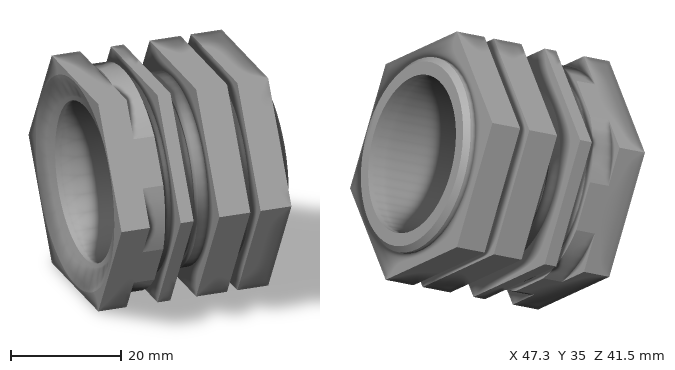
import cadquery as cq
import math


across_flats = 41.0
across_corners = across_flats / math.cos(math.radians(30))
flat_width = across_corners / 2
cap_length = 9.5
locknut_length = 6.0
flange_length = 2.5

flange_start = 11.5
first_locknut_start = 19.0
second_locknut_start = 27.0
total_length = 35.0

band_start = 5.5
band_radius = 21.0

collar_radius = 19.5
collar_rim = 0.3
collar_taper = 0.8
collar_neck_radius = 18.7

relief_radius = 17.0
thread_radius = 18.0
thread_start = 16.5
thread_lead_in = 0.5
thread_end_chamfer = 1.0

mouth_radius = 20.0
mouth_depth = 1.85
throat_radius = 15.0
throat_length = 1.2
taper_length = 8.6
bore_radius = 14.6


def hexagon(start, length):
    """Hexagonal prism along +Y with flats facing up and down."""
    plane = cq.Workplane("XZ", origin=(0, start, 0))
    return plane.polygon(6, across_corners).extrude(-length)


def disc(radius, start, length):
    """Cylinder along +Y."""
    return cq.Workplane("XZ", origin=(0, start, 0)).circle(radius).extrude(-length)


def turned(profile):
    """Solid of revolution about Y from (radius, station) points."""
    return cq.Workplane("XY").polyline(profile).close().revolve(360, (0, 0, 0), (0, 1, 0))


def cap_nut():
    """Hexagonal nut whose rear band has rounded corners and a round top."""
    band_length = cap_length - band_start
    band = disc(band_radius, band_start, band_length)
    trimmed_band = band.intersect(hexagon(band_start, band_length))
    top_region = (
        cq.Workplane("XY", origin=(0, band_start, 0))
        .box(flat_width, band_length, band_radius, centered=(True, False, False))
    )
    round_top = band.intersect(top_region)
    return hexagon(0, band_start).union(trimmed_band).union(round_top)


def shank():
    """Collar, relief and thread cylinder in one turned piece."""
    taper_start = cap_length + collar_rim
    taper_end = taper_start + collar_taper
    return turned([
        (0, cap_length),
        (collar_radius, cap_length),
        (collar_radius, taper_start),
        (collar_neck_radius, taper_end),
        (collar_neck_radius, flange_start),
        (relief_radius, flange_start),
        (relief_radius, thread_start),
        (thread_radius - thread_lead_in, thread_start),
        (thread_radius, thread_start + thread_lead_in),
        (thread_radius, total_length - thread_end_chamfer),
        (thread_radius - thread_end_chamfer, total_length),
        (0, total_length),
    ])


def passage():
    """Conical mouth and short throat, tapering gently to the bore."""
    throat_end = mouth_depth + throat_length
    return turned([
        (0, 0),
        (mouth_radius, 0),
        (throat_radius, mouth_depth),
        (throat_radius, throat_end),
        (bore_radius, throat_end + taper_length),
        (bore_radius, total_length),
        (0, total_length),
    ])


body = cap_nut().union(shank()).union(hexagon(flange_start, flange_length))
for nut_start in (first_locknut_start, second_locknut_start):
    body = body.union(hexagon(nut_start, locknut_length))

result = body.cut(passage())